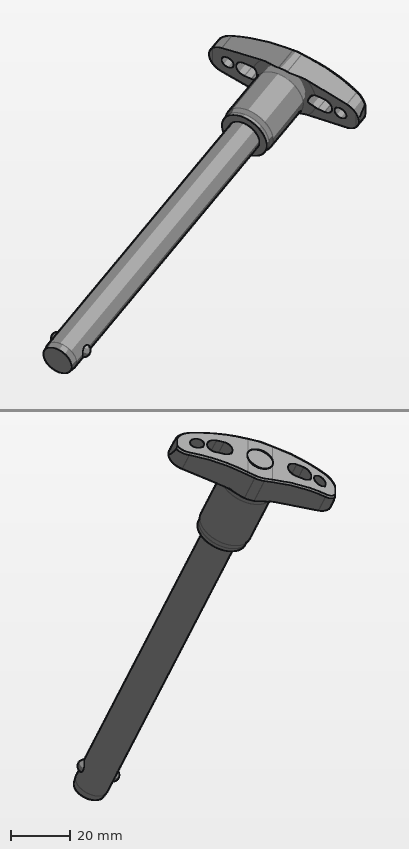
import cadquery as cq
import math

length = 155.7

handle_length = 59.2
handle_width = 20.1
end_radius = 5.9
end_height = 9.5
underside_rise = 0.3
hollow_half_length = 28.3
crown_radius = 57.6
crown_peak_x = 8.9
crown_chamfer = 0.6
tip_lean = 1.0

small_hole_diameter = 4.7
small_hole_x = 22.3
slot_length = 8.9
slot_width = 6.2
slot_x = 14.5

button_radius = 4.7

collar_radius = 9.3
collar_end = 35.0
flare_radius = 3.1
collar_lip_radius = 8.9
collar_lip_length = 1.4
collar_taper_length = 1.9

shank_diameter = 12.0
tip_radius = 5.6
tip_chamfer_length = 2.5

ball_radius = 2.3
ball_reach = 7.5
ball_from_tip = 8.5

shank_radius = shank_diameter / 2
half_length = handle_length / 2
half_width = handle_width / 2
lip_start = collar_end - collar_lip_length
taper_start = lip_start - collar_taper_length


def handle_outline():
    """Tapered wings: tangent lines between a wide middle arc and two round ends."""
    end_x = half_length - end_radius
    slope = math.asin((half_width - end_radius) / end_x)
    mid_x = half_width * math.sin(slope)
    mid_z = half_width * math.cos(slope)
    tangent_x = end_x + end_radius * math.sin(slope)
    tangent_z = end_radius * math.cos(slope)
    return (
        cq.Workplane("XZ")
        .moveTo(-mid_x, mid_z)
        .threePointArc((0, half_width), (mid_x, mid_z))
        .lineTo(tangent_x, tangent_z)
        .threePointArc((half_length, 0), (tangent_x, -tangent_z))
        .lineTo(mid_x, -mid_z)
        .threePointArc((0, -half_width), (-mid_x, -mid_z))
        .lineTo(-tangent_x, -tangent_z)
        .threePointArc((-half_length, 0), (-tangent_x, tangent_z))
        .close()
    )


def crown_drop(x):
    """Depth of a wing's crown arc below its peak, at distance x from the middle."""
    return crown_radius - math.sqrt(crown_radius**2 - (x - crown_peak_x) ** 2)


def handle_side_profile():
    """Two-peaked top, sloped tips and slightly hollow underside, extruded across the width."""
    top_x = half_length - tip_lean
    top_y = -crown_drop(top_x)
    dip_x = crown_peak_x / 2
    dip_y = -crown_drop(dip_x)
    return (
        cq.Workplane("XY")
        .moveTo(-half_length, -end_height)
        .lineTo(-top_x, top_y)
        .threePointArc((-crown_peak_x, 0), (-dip_x, dip_y))
        .threePointArc((0, 2 * dip_y), (dip_x, dip_y))
        .threePointArc((crown_peak_x, 0), (top_x, top_y))
        .lineTo(half_length, -end_height)
        .lineTo(hollow_half_length, -end_height)
        .threePointArc((0, underside_rise - end_height), (-hollow_half_length, -end_height))
        .close()
        .extrude(handle_width, both=True)
    )


def make_handle():
    """Handle bar blended into the collar, trimmed to its outline, with a bevel around the crown."""
    collar = (
        cq.Workplane("XZ", origin=(0, -end_height / 2, 0))
        .circle(collar_radius)
        .extrude(taper_start - end_height / 2)
    )
    foot = cq.selectors.NearestToPointSelector((0, -end_height, collar_radius))
    bar = handle_side_profile().union(collar)
    blank = bar.edges(foot).fillet(flare_radius)
    handle = blank.intersect(handle_outline().extrude(collar_end))
    upper_half = cq.selectors.BoxSelector(
        (-half_length, -end_height / 2, -half_width),
        (half_length, 0, half_width),
    )
    return handle.edges(upper_half).edges("not |Z").chamfer(crown_chamfer)


def make_button():
    """Flat release button filling the dip in the crown."""
    return cq.Workplane("XZ").circle(button_radius).extrude(end_height / 2)


def make_pin():
    """Tapered lip at the end of the collar, and the shank with its chamfered tip."""
    return (
        cq.Workplane("XY")
        .moveTo(0, -taper_start)
        .lineTo(collar_radius, -taper_start)
        .lineTo(collar_lip_radius, -lip_start)
        .lineTo(collar_lip_radius, -collar_end)
        .lineTo(shank_radius, -collar_end)
        .lineTo(shank_radius, tip_chamfer_length - length)
        .lineTo(tip_radius, -length)
        .lineTo(0, -length)
        .close()
        .revolve(360, (0, 0, 0), (0, 1, 0))
    )


def wing_holes(side):
    hole_depth = end_height + flare_radius
    small = (
        cq.Workplane("XZ")
        .center(side * small_hole_x, 0)
        .circle(small_hole_diameter / 2)
        .extrude(hole_depth)
    )
    slot = (
        cq.Workplane("XZ")
        .center(side * slot_x, 0)
        .slot2D(slot_length, slot_width)
        .extrude(hole_depth)
    )
    return small.union(slot)


def locking_ball(side):
    center = (side * (ball_reach - ball_radius), ball_from_tip - length, 0)
    return cq.Workplane("XY").sphere(ball_radius).translate(center)


result = make_handle()
for side in (-1, 1):
    result = result.cut(wing_holes(side))
result = result.union(make_pin()).union(make_button())
for side in (-1, 1):
    result = result.union(locking_ball(side))